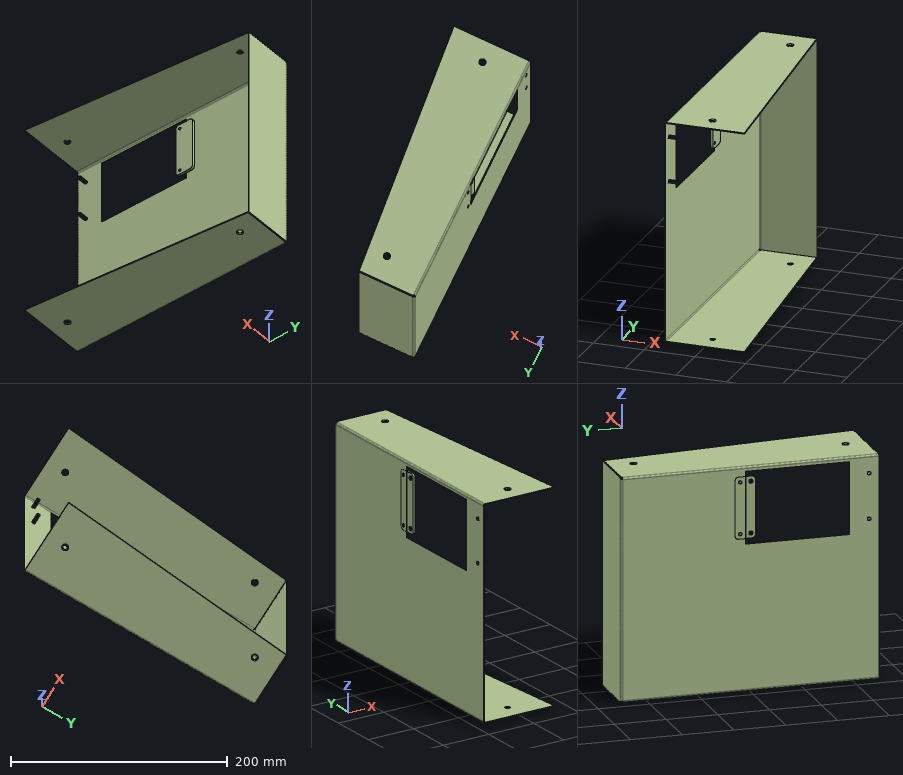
import cadquery as cq

depth = 249.8
height = 217.4
front_reach = 78.7
back_reach = 57.2
sheet = 1.0
bend_radius = 2.0
corner_slit = 0.2

flange_hole_x = 40.0
flange_hole_ys = (20.0, 225.0)
flange_hole_diameter = 4.6
flange_sink_diameter = 6.5

window_front = 29.0
window_length = 100.0
window_height = 70.0
window_back = window_front + window_length
window_top = height - 5.0
window_middle_z = window_top - window_height / 2

bracket_thickness = 2.5
bracket_width = 20.0
bracket_height = 60.0
bracket_corner_radius = 3.5
bracket_hole_pitch_y = 10.5
bracket_hole_pitch_z = 50.0
bracket_hole_diameter = 2.5
bracket_sink_diameter = 4.0
open_hole_y = window_back - bracket_hole_pitch_y / 2
fixing_hole_y = window_back + bracket_hole_pitch_y / 2
bracket_hole_zs = [window_middle_z + side * bracket_hole_pitch_z / 2 for side in (-1, 1)]

fixing_hole_diameter = 2.9

pin_y = 9.7
pin_top_z = height - 17.7
pin_pitch_z = 44.0
pin_zs = (pin_top_z - pin_pitch_z, pin_top_z)
pin_diameter = 3.2
pin_length = 10.0
groove_pitch = 0.5
groove_depth = 0.25
groove_count = round((pin_length - sheet) / groove_pitch)


def rod_along_x(diameter, start_x, length, y, z):
    """Solid cylinder parallel to X."""
    return cq.Workplane("YZ", origin=(start_x, y, z)).circle(diameter / 2).extrude(length)


def countersink(start, direction, sink_diameter, hole_diameter):
    """45 degree cone that narrows from the sink to the hole diameter."""
    sink_radius = sink_diameter / 2
    hole_radius = hole_diameter / 2
    cone_depth = sink_radius - hole_radius
    return cq.Solid.makeCone(sink_radius, hole_radius, cone_depth, cq.Vector(start), cq.Vector(direction))


def rounded_block(inset):
    """Tapered block, inset from all faces but the open front and slanted side, bends rounded."""
    back = depth - inset
    taper = (front_reach - back_reach) / depth
    slant_end = back_reach + taper * inset
    outline = [(inset, 0), (front_reach, 0), (slant_end, back), (inset, back)]
    block = cq.Workplane("XY", origin=(0, 0, inset)).polyline(outline).close().extrude(height - 2 * inset)
    return block.faces("<X").edges("not <Y").fillet(bend_radius - inset)


def make_housing():
    housing = rounded_block(0).cut(rounded_block(sheet))

    slit_y = depth - sheet - corner_slit / 2
    for z in (sheet / 2, height - sheet / 2):
        slit = cq.Workplane("XY", origin=(front_reach / 2, slit_y, z)).box(front_reach, corner_slit, sheet)
        housing = housing.cut(slit)

    for z in (sheet / 2, height - sheet / 2):
        relief_middle = (bend_radius / 2, depth - bend_radius / 2, z)
        relief = cq.Workplane("XY", origin=relief_middle).box(bend_radius, bend_radius, sheet)
        housing = housing.cut(relief)

    window_middle = (sheet / 2, window_front + window_length / 2, window_middle_z)
    housing = housing.cut(cq.Workplane("XY", origin=window_middle).box(sheet, window_length, window_height))

    for y in flange_hole_ys:
        hole_start = cq.Workplane("XY", origin=(flange_hole_x, y, 0))
        housing = housing.cut(hole_start.circle(flange_hole_diameter / 2).extrude(height))
        for z, inward in ((0, 1), (height, -1)):
            sink = countersink(
                (flange_hole_x, y, z), (0, 0, inward), flange_sink_diameter, flange_hole_diameter
            )
            housing = housing.cut(cq.Workplane(sink))

    for z in bracket_hole_zs:
        housing = housing.cut(rod_along_x(fixing_hole_diameter, 0, sheet, fixing_hole_y, z))
    for z in pin_zs:
        housing = housing.cut(rod_along_x(pin_diameter, 0, sheet, pin_y, z))
    return housing


def make_bracket():
    plane = cq.Workplane("YZ", origin=(sheet, window_back, window_middle_z))
    bracket = plane.rect(bracket_width, bracket_height).extrude(bracket_thickness)
    bracket = bracket.edges("|X").fillet(bracket_corner_radius)
    for z in bracket_hole_zs:
        sink = countersink((sheet, open_hole_y, z), (1, 0, 0), bracket_sink_diameter, bracket_hole_diameter)
        bracket = bracket.cut(rod_along_x(bracket_hole_diameter, sheet, bracket_thickness, open_hole_y, z))
        bracket = bracket.cut(cq.Workplane(sink))
    return bracket


def make_pin(z):
    """Pin along X: plain where it sits in the wall, V grooves along the rest."""
    radius = pin_diameter / 2
    profile = cq.Workplane("XY").moveTo(0, 0).lineTo(0, radius).lineTo(sheet, radius)
    for groove in range(groove_count):
        groove_start = sheet + groove * groove_pitch
        profile = profile.lineTo(groove_start + groove_pitch / 2, radius - groove_depth)
        profile = profile.lineTo(groove_start + groove_pitch, radius)
    pin = profile.lineTo(pin_length, 0).close().revolve(360, (0, 0, 0), (1, 0, 0))
    return pin.translate((0, pin_y, z))


housing = make_housing()
bracket = make_bracket()
pins = [make_pin(z).val() for z in pin_zs]

result = cq.Compound.makeCompound([housing.val(), bracket.val(), *pins])